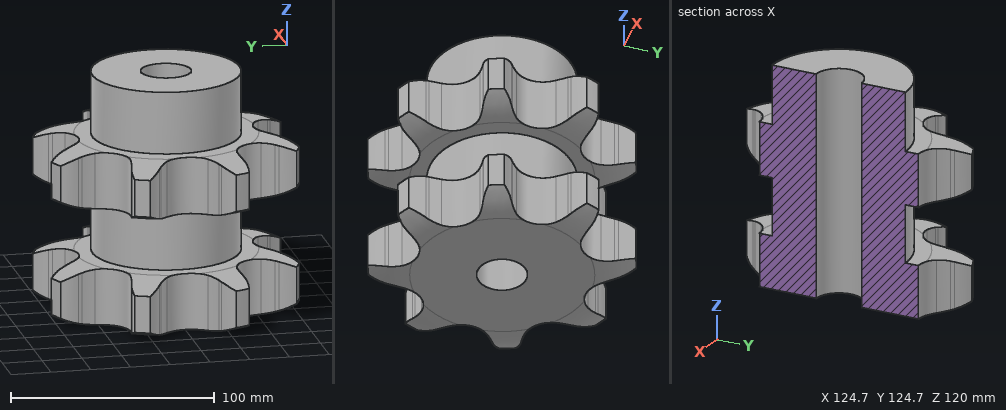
import cadquery as cq
import math


CHAIN_PITCH = 44.45
ROLLER_DIAMETER = 27.94
ROW_SPACING = 59.56

TOOTH_COUNT = 8
TIP_RADIUS = 66.0
TOOTH_WIDTH = 28.8
FLANK_START_RADIUS = 45.5
FLANK_ROUND_RADIUS = CHAIN_PITCH
HUB_DIAMETER = 74.0
BORE_DIAMETER = 25.0
TOTAL_HEIGHT = 120.0

SEATING_CLEARANCE = 0.0762
SEATING_FACTOR = 1.005
WORKING_CENTRE_FACTOR = 0.8
TOPPING_CENTRE_FACTOR = 1.4
SEATING_BASE_ANGLE = 35.0
SEATING_ANGLE_SHARE = 60.0
WORKING_BASE_ANGLE = 18.0
WORKING_ANGLE_SHARE = 56.0

TOOTH_ANGLE = 360.0 / TOOTH_COUNT
PITCH_RADIUS = CHAIN_PITCH / 2 / math.sin(math.radians(TOOTH_ANGLE / 2))
SEATING_RADIUS = (SEATING_FACTOR * ROLLER_DIAMETER + SEATING_CLEARANCE) / 2
WORKING_CENTRE_DISTANCE = WORKING_CENTRE_FACTOR * ROLLER_DIAMETER
TOPPING_CENTRE_DISTANCE = TOPPING_CENTRE_FACTOR * ROLLER_DIAMETER
WORKING_RADIUS = WORKING_CENTRE_DISTANCE + SEATING_RADIUS
SEATING_END_ANGLE = SEATING_BASE_ANGLE + SEATING_ANGLE_SHARE / TOOTH_COUNT
WORKING_SWEEP_ANGLE = WORKING_BASE_ANGLE - WORKING_ANGLE_SHARE / TOOTH_COUNT
LINE_ANGLE = SEATING_END_ANGLE - WORKING_SWEEP_ANGLE

AXIS = (0.0, 0.0)


def offset(point, distance, angle):
    """Point at a distance from another, angle in degrees from the first axis."""
    turn = math.radians(angle)
    return (point[0] + distance * math.cos(turn), point[1] + distance * math.sin(turn))


def angle_to(centre, point):
    """Direction from a centre to a point, in degrees from the first axis."""
    return math.degrees(math.atan2(point[1] - centre[1], point[0] - centre[0]))


def half_gap_points():
    """One side of a tooth gap, from its root to the tooth tip.

    First coordinate runs sideways from the gap's centre line, second outwards from the
    sprocket axis. The points are the root, then the ends and middles of the
    working arc, a short straight and the topping arc.
    """
    roller = (0.0, PITCH_RADIUS)
    root = offset(roller, SEATING_RADIUS, -90)
    seating_end = offset(roller, SEATING_RADIUS, -SEATING_END_ANGLE)

    working_centre = offset(roller, WORKING_CENTRE_DISTANCE, 180 - SEATING_END_ANGLE)
    working_middle = offset(working_centre, WORKING_RADIUS, -(SEATING_END_ANGLE + LINE_ANGLE) / 2)
    working_end = offset(working_centre, WORKING_RADIUS, -LINE_ANGLE)

    topping_centre = offset(roller, TOPPING_CENTRE_DISTANCE, -TOOTH_ANGLE / 2)
    line_turn = math.radians(90 - LINE_ANGLE)
    line_length = (
        (topping_centre[0] - working_end[0]) * math.cos(line_turn)
        + (topping_centre[1] - working_end[1]) * math.sin(line_turn)
    )
    line_end = offset(working_end, line_length, 90 - LINE_ANGLE)

    topping_radius = math.dist(topping_centre, line_end)
    centre_distance = math.dist(AXIS, topping_centre)
    tip_turn = math.acos(
        (TIP_RADIUS**2 + centre_distance**2 - topping_radius**2) / (2 * TIP_RADIUS * centre_distance)
    )
    tip = offset(AXIS, TIP_RADIUS, angle_to(AXIS, topping_centre) + math.degrees(tip_turn))
    start_angle = angle_to(topping_centre, line_end) % 360
    end_angle = angle_to(topping_centre, tip) % 360
    topping_middle = offset(topping_centre, topping_radius, (start_angle + end_angle) / 2)

    return [root, seating_end, working_middle, working_end, line_end, topping_middle, tip]


def tooth_outline():
    """Closed outline of the whole toothed disc, with gaps centred on +X and every tooth angle."""
    half_gap = half_gap_points()

    def placed(side, gap_index):
        """Half gap points turned to their place, side -1 or 1 of the gap's centre line."""
        turned = []
        for sideways, outwards in half_gap:
            angle = gap_index * TOOTH_ANGLE + side * math.degrees(math.atan2(sideways, outwards))
            turned.append(offset(AXIS, math.hypot(sideways, outwards), angle))
        return turned

    first_tip = placed(-1, 0)[-1]
    outline = cq.Workplane("XY").moveTo(*first_tip)
    for gap in range(TOOTH_COUNT):
        root, seating_start, working_in, working_start, line_start, topping_in, _ = placed(-1, gap)
        _, seating_end, working_out, working_end, line_end, topping_out, tip = placed(1, gap)
        tip_middle = offset(AXIS, TIP_RADIUS, (gap + 0.5) * TOOTH_ANGLE)
        next_tip = placed(-1, gap + 1)[-1]
        outline = (
            outline.threePointArc(topping_in, line_start)
            .lineTo(*working_start)
            .threePointArc(working_in, seating_start)
            .threePointArc(root, seating_end)
            .threePointArc(working_out, working_end)
            .lineTo(*line_end)
            .threePointArc(topping_out, tip)
            .threePointArc(tip_middle, next_tip)
        )
    return outline.close()


def rounded_blank():
    """Turned disc whose two faces round over towards the rim."""
    run = TIP_RADIUS - FLANK_START_RADIUS
    rim_turn = math.asin(run / FLANK_ROUND_RADIUS)

    def drop(turn):
        return FLANK_ROUND_RADIUS * (1 - math.cos(turn))

    middle_radius = FLANK_START_RADIUS + FLANK_ROUND_RADIUS * math.sin(rim_turn / 2)
    middle_drop = drop(rim_turn / 2)
    rim_drop = drop(rim_turn)
    return (
        cq.Workplane("XZ")
        .lineTo(FLANK_START_RADIUS, 0)
        .threePointArc((middle_radius, middle_drop), (TIP_RADIUS, rim_drop))
        .lineTo(TIP_RADIUS, TOOTH_WIDTH - rim_drop)
        .threePointArc((middle_radius, TOOTH_WIDTH - middle_drop), (FLANK_START_RADIUS, TOOTH_WIDTH))
        .lineTo(0, TOOTH_WIDTH)
        .close()
        .revolve(360, (0, 0, 0), (0, 1, 0))
    )


def toothed_disc():
    return tooth_outline().extrude(TOOTH_WIDTH).intersect(rounded_blank())


disc = toothed_disc()
hub = cq.Workplane("XY").circle(HUB_DIAMETER / 2).extrude(TOTAL_HEIGHT)
bore = cq.Workplane("XY").circle(BORE_DIAMETER / 2).extrude(TOTAL_HEIGHT)

result = hub.union(disc).union(disc.translate((0, 0, ROW_SPACING))).cut(bore)